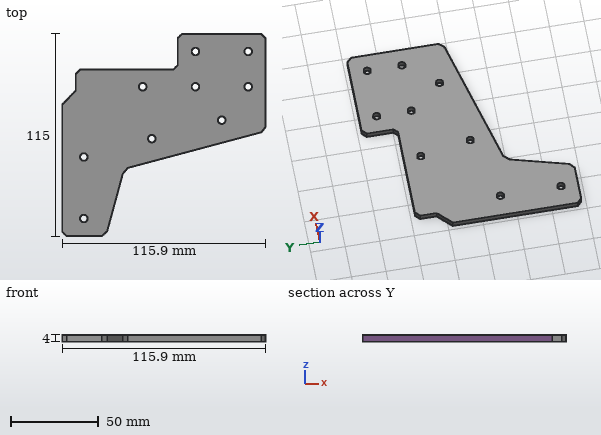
import cadquery as cq

length = 115.9
width = 115.0
thickness = 4.0
corner_cut = 2.5

upper_step_x = 65.7
upper_step_y = 94.8
upper_step_relief = 2.3
lower_step_x = 7.8
shoulder_top_y = 82.7
shoulder_bottom_y = 74.7

leg_bottom_x = 22.7
leg_edge_start = (25.7, 2.7)
leg_edge_end = (34.6, 35.5)
arm_edge_start = (37.4, 38.7)
arm_edge_end = (113.4, 59.0)
arm_corner_y = 62.1

hole_diameter = 4.2
upper_row_y = 105.0
lower_row_y = 84.9
column_pitch = 30.0
right_column_x = 105.9
middle_column_x = right_column_x - column_pitch
left_column_x = middle_column_x - column_pitch
leg_column_x = 12.4
hole_centers = [
    (middle_column_x, upper_row_y),
    (right_column_x, upper_row_y),
    (left_column_x, lower_row_y),
    (middle_column_x, lower_row_y),
    (right_column_x, lower_row_y),
    (90.8, 65.9),
    (51.1, 55.4),
    (leg_column_x, 45.0),
    (leg_column_x, 10.0),
]

outline = [
    (corner_cut, 0),
    (leg_bottom_x, 0),
    leg_edge_start,
    leg_edge_end,
    arm_edge_start,
    arm_edge_end,
    (length, arm_corner_y),
    (length, width - corner_cut),
    (length - corner_cut, width),
    (upper_step_x + corner_cut, width),
    (upper_step_x, width - corner_cut),
    (upper_step_x, upper_step_y + upper_step_relief),
    (upper_step_x - upper_step_relief, upper_step_y),
    (lower_step_x + corner_cut, upper_step_y),
    (lower_step_x, upper_step_y - corner_cut),
    (lower_step_x, shoulder_top_y),
    (0, shoulder_bottom_y),
    (0, corner_cut),
]

plate = cq.Workplane("XY").polyline(outline).close().extrude(thickness)

result = plate.faces(">Z").workplane(origin=(0, 0, 0)).pushPoints(hole_centers).hole(hole_diameter)